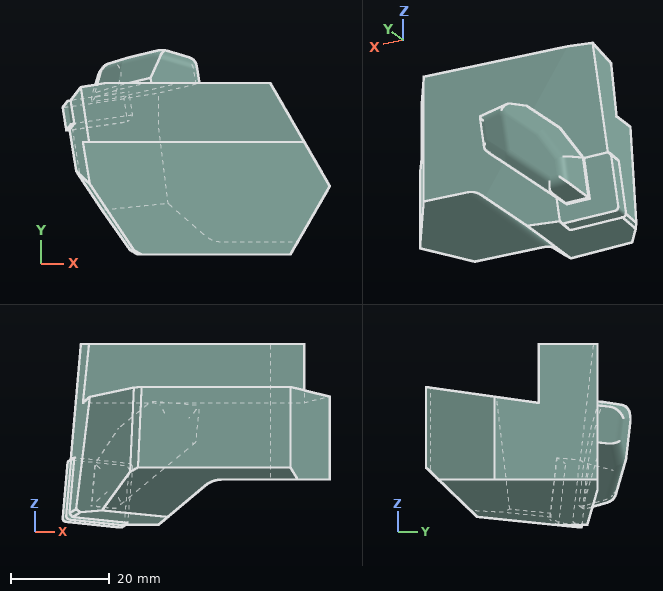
import cadquery as cq
import math


def tan(degrees):
    return math.tan(math.radians(degrees))


TOP_Z = 37.25
BACK_Y = 34.8
STEP_Y = 22.9
SHELF_FRONT_Z = 28.5
SHELF_ANGLE = 8.0
TIP_X = 54.2
TIP_Y = 13.9
TIP_HALF_SLOPE = 30.0
NOSE_FLAT_Z = 0.55
FRONT_CHAMFER_Z = 12.2
FRONT_CHAMFER_ANGLE = 44.0
ARM_BOTTOM_Z = 9.7
ARM_BOTTOM_START_X = 32.25
ARM_RADIUS = 5.15
ARM_SLOPE = 40.0
CUT_SIZE = 108.4

SEAT_CORNER = (0.6, 29.9, 1.75)
SEAT_RIGHT = cq.Vector(1, 0.151, -0.105)
SEAT_FORWARD = cq.Vector(0.156, -1, 0.101)
SEAT = cq.Plane(origin=SEAT_CORNER, xDir=SEAT_RIGHT, normal=SEAT_FORWARD)
SEAT_CHAMFER = 0.7

INSERT_SIDE = 12.7
INSERT_THICKNESS = 4.75
INSERT_CORNER_RADIUS = 0.8
INSERT_OVERHANG = 0.6

CLAMP_OUTLINE = [
    (15.4, 25.7),
    (25.1, 25.7),
    (25.1, 18.2),
    (10.15, 3.25),
    (5.15, 3.25),
    (5.15, 11.9),
    (9.2, 19.5),
]
CLAMP_SLOPED_SIDES = (3, 4, 5, 6)
CLAMP_SIDE_ANGLE = 25.0
CLAMP_WALL = 0.8
CLAMP_HEIGHT = 6.45
CLAMP_EMBED = 1.6
CLAMP_HEEL_X = 19.0
CLAMP_HEEL_ANGLE = 25.0
CLAMP_RIM_RADIUS = 2.55


def trim(body, point, outward):
    """Remove everything beyond the plane through point with the given outward normal."""
    plane = cq.Plane(origin=point, normal=outward)
    beyond = cq.Workplane(plane).rect(2 * CUT_SIZE, 2 * CUT_SIZE).extrude(CUT_SIZE)
    return body.cut(beyond)


def plane_normal(a, b, c):
    """Normal of the plane through three points."""
    a, b, c = cq.Vector(*a), cq.Vector(*b), cq.Vector(*c)
    return (b - a).cross(c - a)


def make_profile():
    """Side profile in YZ, swept along X: upright, shelf and front chamfer."""
    shelf_inner_z = SHELF_FRONT_Z - STEP_Y * tan(SHELF_ANGLE)
    chamfer_y = (FRONT_CHAMFER_Z - NOSE_FLAT_Z) / tan(FRONT_CHAMFER_ANGLE)
    outline = [
        (0, FRONT_CHAMFER_Z),
        (0, SHELF_FRONT_Z),
        (STEP_Y, shelf_inner_z),
        (STEP_Y, TOP_Z),
        (BACK_Y, TOP_Z),
        (BACK_Y, NOSE_FLAT_Z),
        (chamfer_y, NOSE_FLAT_Z),
    ]
    return cq.Workplane("YZ").polyline(outline).close().extrude(TIP_X)


def make_plan():
    """Plan outline with the V-shaped right end."""
    slope = tan(TIP_HALF_SLOPE)
    outline = [
        (0, 0),
        (TIP_X - TIP_Y * slope, 0),
        (TIP_X, TIP_Y),
        (TIP_X - (BACK_Y - TIP_Y) * slope, BACK_Y),
        (0, BACK_Y),
    ]
    return cq.Workplane("XY").polyline(outline).close().extrude(TOP_Z)


def make_underside_relief():
    """Space below the arm: flat, rounded into a slope that runs down to the nose."""
    slope = math.radians(ARM_SLOPE)
    half = slope / 2
    center_z = ARM_BOTTOM_Z - ARM_RADIUS
    arc_middle = (
        ARM_BOTTOM_START_X - ARM_RADIUS * math.sin(half),
        center_z + ARM_RADIUS * math.cos(half),
    )
    arc_end_z = center_z + ARM_RADIUS * math.cos(slope)
    arc_end = (ARM_BOTTOM_START_X - ARM_RADIUS * math.sin(slope), arc_end_z)
    slope_end = (arc_end[0] - arc_end_z / math.tan(slope), 0)
    return (
        cq.Workplane("XZ")
        .moveTo(TIP_X, ARM_BOTTOM_Z)
        .lineTo(ARM_BOTTOM_START_X, ARM_BOTTOM_Z)
        .threePointArc(arc_middle, arc_end)
        .lineTo(*slope_end)
        .lineTo(TIP_X, 0)
        .close()
        .extrude(-BACK_Y)
    )


def make_block():
    block = make_profile().intersect(make_plan()).cut(make_underside_relief())

    for outward in (-SEAT.xDir, -SEAT.zDir, -SEAT.yDir):
        block = trim(block, SEAT_CORNER, outward)
    chamfer_point = SEAT.toWorldCoords((SEAT_CHAMFER, 0, 0))
    block = trim(block, chamfer_point, -SEAT.xDir - SEAT.yDir)

    slant_top_left = (5.6, 14.25, 26.5)
    slant_top_right = (14.5, 0.9, 28.35)
    slant_bottom = (13.7, 0.9, 11.5)
    block = trim(block, slant_top_left, plane_normal(slant_top_left, slant_bottom, slant_top_right))

    front_top = (16.05, 0, 28.5)
    block = trim(block, slant_top_right, plane_normal(slant_top_right, slant_bottom, front_top))
    return block


def lean_side(clamp, start, end):
    """Lean the clamp wall over the outline side from start to end inward."""
    run = end[0] - start[0]
    rise = end[1] - start[1]
    sideways = (SEAT.yDir * run - SEAT.xDir * rise) / math.hypot(run, rise)
    wall_top = SEAT.toWorldCoords((*start, -CLAMP_WALL))
    return trim(clamp, wall_top, sideways - SEAT.zDir * tan(CLAMP_SIDE_ANGLE))


def make_clamp():
    """Raised pad that reaches over the insert, rounded over its outer rim."""
    clamp = (
        cq.Workplane(SEAT)
        .workplane(offset=CLAMP_EMBED)
        .polyline(CLAMP_OUTLINE)
        .close()
        .extrude(-CLAMP_EMBED - CLAMP_HEIGHT)
    )
    for side in CLAMP_SLOPED_SIDES:
        following = (side + 1) % len(CLAMP_OUTLINE)
        clamp = lean_side(clamp, CLAMP_OUTLINE[side], CLAMP_OUTLINE[following])

    outward = -SEAT.zDir
    heel_start = SEAT.toWorldCoords((CLAMP_HEEL_X, 0, -CLAMP_HEIGHT))
    heel_outward = outward + SEAT.xDir * tan(CLAMP_HEEL_ANGLE)
    clamp = trim(clamp, heel_start, heel_outward)

    outer_face = cq.selectors.DirectionMinMaxSelector(outward, True)
    heel_face = cq.selectors.DirectionMinMaxSelector(heel_outward, True)
    return clamp.faces(outer_face + heel_face).edges().fillet(CLAMP_RIM_RADIUS)


def make_insert():
    """Square plate with rounded corners."""
    middle = INSERT_SIDE / 2 - INSERT_OVERHANG
    return (
        cq.Workplane(SEAT)
        .center(middle, middle)
        .rect(INSERT_SIDE, INSERT_SIDE)
        .extrude(INSERT_THICKNESS)
        .edges(cq.selectors.ParallelDirSelector(SEAT.zDir))
        .fillet(INSERT_CORNER_RADIUS)
    )


insert = make_insert()
holder = make_block().union(make_clamp()).cut(insert)

result = cq.Compound.makeCompound([holder.val(), insert.val()])